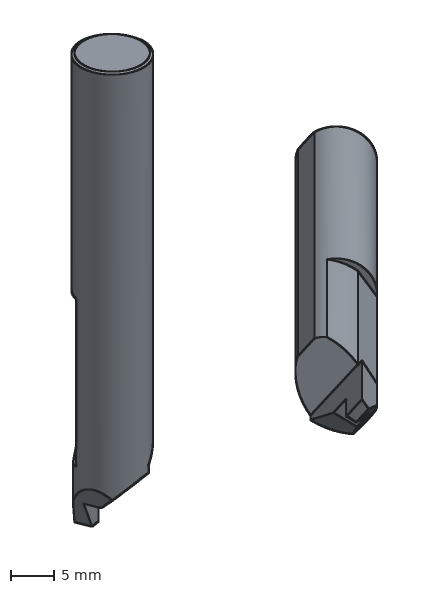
import cadquery as cq
import math

length = 63.5
radius = 4.75
flat_y = 4.5
top_chamfer_height = 0.2
top_chamfer_width = 0.4

relief_bottom = 9.3
relief_top = 31.75
relief_x = -4.0
relief_flat_edge_x = -2.7
relief_curve_edge_y = 3.75
relief_curve_radius = 7

rake_runout_z = 9.45
flank_edge_x = -3.5

heel_z = 7.3
toe_y = -1.45
toe_z = 0.2

tip_inner_x = -1.8
notch_z = 4.2
notch_slope_x = 0.5
notch_clearance_angle = 4.5
tip_corner_chamfer = 0.2

margin = 3.2
outside = radius + margin


def chord_y(x):
    """Half width of the round bar at a given X."""
    return math.sqrt(radius**2 - x**2)


def extrude_along_x(points):
    """Full-width cutter with a (Y, Z) outline."""
    return cq.Workplane("YZ").polyline(points).close().extrude(outside, both=True)


def make_shank():
    bar = cq.Workplane("XY").circle(radius).extrude(length)
    bar = bar.faces(">Z").edges().chamfer(top_chamfer_height, top_chamfer_width)
    flat = cq.Workplane("XY").box(2 * outside, margin, length, centered=(True, False, False))
    return bar.cut(flat.translate((0, flat_y, 0)))


def make_side_relief():
    curve_edge_x = -chord_y(relief_curve_edge_y)
    chord_x = curve_edge_x - relief_x
    chord = math.hypot(chord_x, relief_curve_edge_y)
    sag = relief_curve_radius - math.sqrt(relief_curve_radius**2 - (chord / 2) ** 2)
    middle = (
        relief_x + chord_x / 2 - sag * relief_curve_edge_y / chord,
        relief_curve_edge_y / 2 + sag * chord_x / chord,
    )
    flat_edge_y = -chord_y(relief_flat_edge_x)
    return (
        cq.Workplane("XY", origin=(0, 0, relief_bottom))
        .moveTo(relief_flat_edge_x, flat_edge_y)
        .lineTo(relief_x, 0)
        .threePointArc(middle, (curve_edge_x, relief_curve_edge_y))
        .lineTo(-outside, relief_curve_edge_y)
        .lineTo(-outside, flat_edge_y)
        .close()
        .extrude(relief_top - relief_bottom)
    )


def make_rake_cut():
    return extrude_along_x([
        (0, -margin),
        (0, rake_runout_z),
        (outside, rake_runout_z + outside),
        (outside, -margin),
    ])


def make_flank_cut():
    return (
        cq.Workplane("XY")
        .polyline([
            (-radius, 0),
            (flank_edge_x, -chord_y(flank_edge_x)),
            (-outside, -chord_y(flank_edge_x)),
            (-outside, 0),
        ])
        .close()
        .extrude(relief_bottom)
    )


def make_underside_cut():
    slope = (heel_z - toe_z) / (radius + toe_y)
    return extrude_along_x([
        (0, 0),
        (toe_y, toe_z),
        (-outside, heel_z + slope * margin),
        (-outside, -margin),
        (0, -margin),
    ])


def make_notch():
    reach = outside - notch_slope_x
    notch = (
        cq.Workplane("XZ")
        .polyline([
            (tip_inner_x - tip_corner_chamfer - margin, -margin),
            (tip_inner_x - tip_corner_chamfer, 0),
            (tip_inner_x, tip_corner_chamfer),
            (tip_inner_x, notch_z),
            (notch_slope_x, notch_z),
            (outside, notch_z + reach),
            (outside, -margin),
        ])
        .close()
        .extrude(outside, both=True)
    )
    return notch.rotate((tip_inner_x, 0, 0), (tip_inner_x, 0, 1), -notch_clearance_angle)


result = make_shank()
for cutter in (
    make_side_relief(),
    make_rake_cut(),
    make_flank_cut(),
    make_underside_cut(),
    make_notch(),
):
    result = result.cut(cutter)